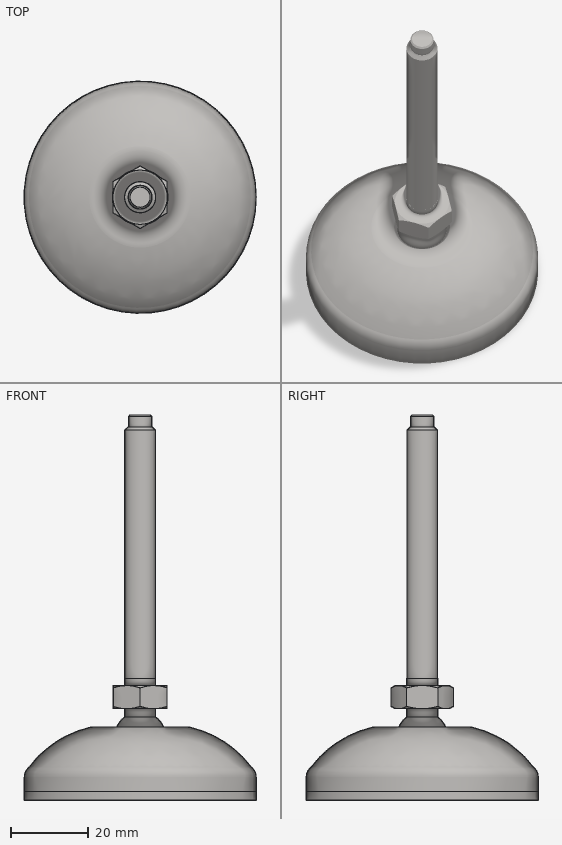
import cadquery as cq
import math

foot_diameter = 60.0
overall_height = 99.7

pad_height = 2.4
pad_edge_chamfer = 0.2

housing_top = 19.05
wall_top = 6.0
dome_base_height = 8.75
dome_base_diameter = 57.3
rim_diameter = 26.2
rim_drop = 0.13
flat_diameter = 24.0

ball_diameter = 13.28
ball_center_z = 16.35
mouth_diameter = 14.4
mouth_depth = 0.8

thread_diameter = 8.0
shank_diameter = 8.06
shank_top = 31.6
hex_bottom = 23.75
hex_height = 6.0
hex_across_flats = 14.0
hex_chamfer_angle = math.radians(30)
tip_diameter = 6.0
tip_length = 3.1
tip_chamfer = 0.4
thread_chamfer = 0.9


def make_pad():
    """Plain disc with a chamfered lower edge."""
    disc = cq.Workplane("XY").circle(foot_diameter / 2).extrude(pad_height)
    return disc.faces("<Z").edges().chamfer(pad_edge_chamfer)


def make_housing():
    """Revolved dome with a ball seat that opens in a 45 degree countersink."""
    wall_radius = foot_diameter / 2
    dome_base = (dome_base_diameter / 2, dome_base_height)

    corner_inset = wall_radius - dome_base[0]
    corner_rise = dome_base_height - wall_top
    corner_radius = (corner_inset ** 2 + corner_rise ** 2) / (2 * corner_inset)
    corner_half_angle = math.atan2(corner_inset, corner_rise)
    corner_middle = (
        wall_radius - corner_radius * (1 - math.cos(corner_half_angle)),
        wall_top + corner_radius * math.sin(corner_half_angle),
    )

    dome = (
        cq.Workplane("XZ")
        .moveTo(0, housing_top)
        .lineTo(flat_diameter / 2, housing_top)
        .tangentArcPoint((rim_diameter / 2, housing_top - rim_drop), relative=False)
        .tangentArcPoint(dome_base, relative=False)
        .threePointArc(corner_middle, (wall_radius, wall_top))
        .lineTo(wall_radius, pad_height)
        .lineTo(0, pad_height)
        .close()
        .revolve(360, (0, 0, 0), (0, 1, 0))
    )
    seat = cq.Workplane("XY").sphere(ball_diameter / 2).translate((0, 0, ball_center_z))
    mouth = (
        cq.Workplane("XZ")
        .polyline([
            (0, housing_top),
            (mouth_diameter / 2, housing_top),
            (mouth_diameter / 2 - mouth_depth, housing_top - mouth_depth),
            (0, housing_top - mouth_depth),
        ])
        .close()
        .revolve(360, (0, 0, 0), (0, 1, 0))
    )
    return dome.cut(seat).cut(mouth)


def make_hexagon():
    """Hexagon with corners on the Y axis, its corners chamfered at both ends."""
    flat_radius = hex_across_flats / 2
    corner_radius = flat_radius / math.cos(math.pi / 6)
    chamfer_drop = (corner_radius - flat_radius) * math.tan(hex_chamfer_angle)
    hex_top = hex_bottom + hex_height
    prism = (
        cq.Workplane("XY", origin=(0, 0, hex_bottom))
        .polygon(6, 2 * corner_radius)
        .extrude(hex_height)
        .rotate((0, 0, 0), (0, 0, 1), 30)
    )
    envelope = (
        cq.Workplane("XZ")
        .polyline([
            (0, hex_bottom),
            (flat_radius, hex_bottom),
            (corner_radius, hex_bottom + chamfer_drop),
            (corner_radius, hex_top - chamfer_drop),
            (flat_radius, hex_top),
            (0, hex_top),
        ])
        .close()
        .revolve(360, (0, 0, 0), (0, 1, 0))
    )
    return prism.intersect(envelope)


def make_spindle():
    """Threaded spindle (plain cylinder) with shank, hexagon, neck, ball and stepped tip."""
    ball_radius = ball_diameter / 2
    thread_radius = thread_diameter / 2
    shank_radius = shank_diameter / 2
    tip_radius = tip_diameter / 2
    tip_base = overall_height - tip_length
    rod = (
        cq.Workplane("XZ")
        .polyline([
            (0, ball_center_z),
            (shank_radius, ball_center_z),
            (shank_radius, shank_top),
            (thread_radius, shank_top),
            (thread_radius, tip_base - thread_chamfer),
            (thread_radius - thread_chamfer, tip_base),
            (tip_radius, tip_base),
            (tip_radius, overall_height - tip_chamfer),
            (tip_radius - tip_chamfer, overall_height),
            (0, overall_height),
        ])
        .close()
        .revolve(360, (0, 0, 0), (0, 1, 0))
    )
    ball = cq.Workplane("XY").sphere(ball_radius).translate((0, 0, ball_center_z))
    return rod.union(ball).union(make_hexagon())


pad = make_pad()
housing = make_housing()
spindle = make_spindle()

result = cq.Compound.makeCompound([pad.val(), housing.val(), spindle.val()])